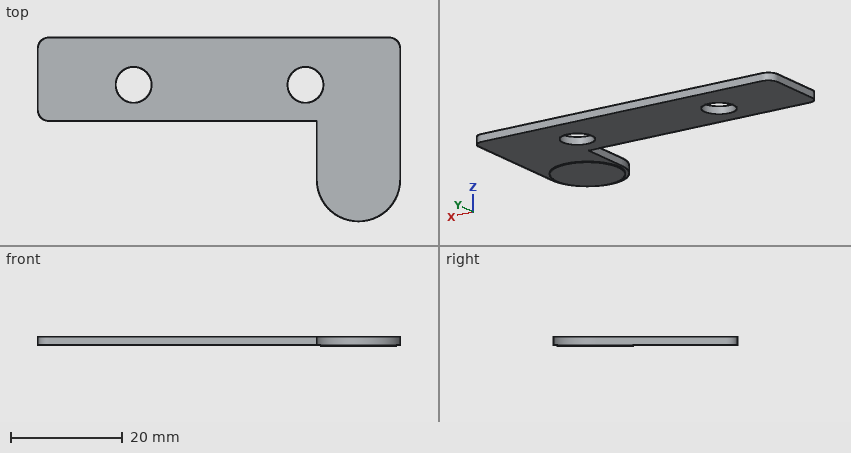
import cadquery as cq

length = 65.0
width = 15.0
overall_depth = 33.0
thickness = 1.5
corner_radius = 2.0

leg_width = 15.0
leg_end_radius = leg_width / 2

hole_diameter = 6.4
hole_from_back_edge = 8.5
first_hole_x = 17.2
hole_spacing = 30.8
hole_count = 2

pad_diameter = 13.6
pad_height = 0.2

leg_left = length - leg_width
leg_center_x = length - leg_end_radius
leg_center_y = leg_end_radius - overall_depth


def make_plate():
    """L-shaped plate with its back edge on Y = 0 and its underside on Z = 0."""
    outline = (
        cq.Workplane("XY")
        .moveTo(0, 0)
        .lineTo(length, 0)
        .lineTo(length, leg_center_y)
        .threePointArc((leg_center_x, -overall_depth), (leg_left, leg_center_y))
        .lineTo(leg_left, -width)
        .lineTo(0, -width)
        .close()
    )
    plate = outline.extrude(thickness)
    rounded_corners = [(0, 0), (length, 0), (0, -width)]
    for x, y in rounded_corners:
        corner_edge = cq.selectors.NearestToPointSelector((x, y, thickness / 2))
        plate = plate.edges("|Z").edges(corner_edge).fillet(corner_radius)
    return plate


def cut_holes(plate):
    """Cut the row of through holes."""
    centers = [(first_hole_x + i * hole_spacing, -hole_from_back_edge) for i in range(hole_count)]
    holes = cq.Workplane("XY").pushPoints(centers).circle(hole_diameter / 2).extrude(thickness)
    return plate.cut(holes)


def make_pad():
    """Round pad projecting below the leg, concentric with its rounded end."""
    return (
        cq.Workplane("XY")
        .center(leg_center_x, leg_center_y)
        .circle(pad_diameter / 2)
        .extrude(-pad_height)
    )


result = cut_holes(make_plate()).union(make_pad())